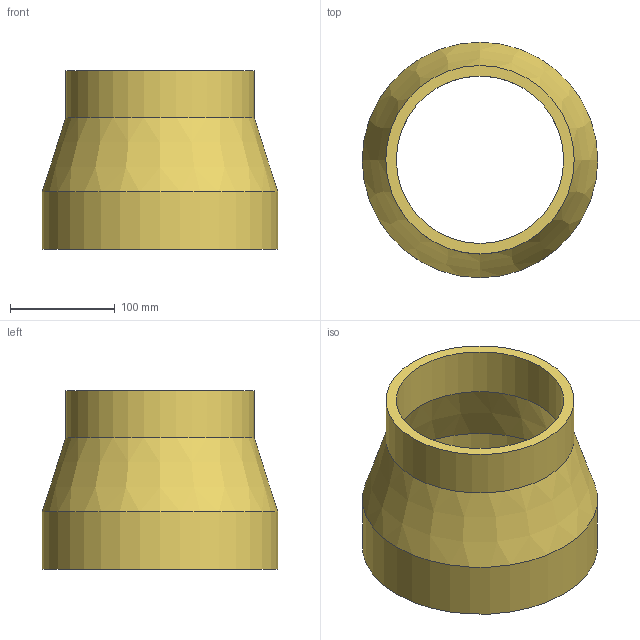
import math

import cadquery as cq

total_height = 171.0
wide_outer_diameter = 225.0
wide_bore_diameter = 200.0
narrow_outer_diameter = 180.0
narrow_wall = 10.0
narrow_bore_diameter = narrow_outer_diameter - 2 * narrow_wall

wide_outer_length = 55.0
narrow_outer_length = 45.0

outer_cone_height = total_height - wide_outer_length - narrow_outer_length
outer_cone_inset = (wide_outer_diameter - narrow_outer_diameter) / 2
cone_angle = math.atan2(outer_cone_inset, outer_cone_height)
bore_cone_inset = (wide_bore_diameter - narrow_bore_diameter) / 2
bore_cone_height = bore_cone_inset / math.tan(cone_angle)
narrow_bore_length = narrow_outer_length + narrow_wall * math.tan(cone_angle / 2)
wide_bore_length = total_height - narrow_bore_length - bore_cone_height


def stepped_taper(wide_diameter, wide_length, narrow_diameter, narrow_length):
    """Solid of revolution about Z: wide cylinder, cone, narrow cylinder."""
    wide_radius = wide_diameter / 2
    narrow_radius = narrow_diameter / 2
    half_section = [
        (0, 0),
        (wide_radius, 0),
        (wide_radius, wide_length),
        (narrow_radius, total_height - narrow_length),
        (narrow_radius, total_height),
        (0, total_height),
    ]
    axis_start = (0, 0)
    axis_end = (0, 1)
    profile = cq.Workplane("XZ").polyline(half_section).close()
    return profile.revolve(360, axis_start, axis_end)


outer_body = stepped_taper(
    wide_outer_diameter, wide_outer_length, narrow_outer_diameter, narrow_outer_length
)
bore = stepped_taper(
    wide_bore_diameter, wide_bore_length, narrow_bore_diameter, narrow_bore_length
)

result = outer_body.cut(bore)